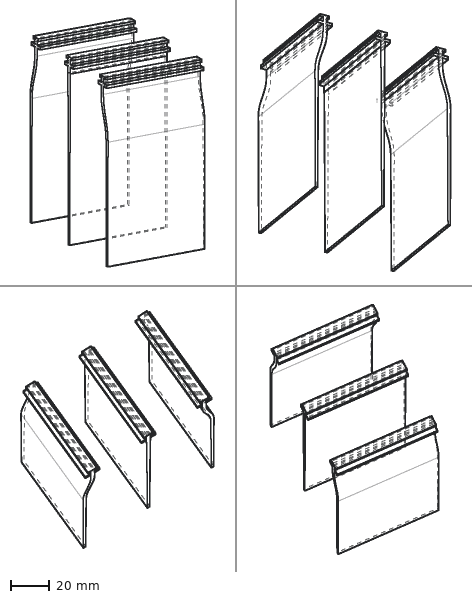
import cadquery as cq

total_height = 103.8
panel_length = 58.0
total_width = 82.2
panel_spacing = 35.2

head_width = 5.6
head_thickness = 1.3
flange_width = 9.0
flange_top = 100.0
flange_thickness = 1.7
neck_width = 2.7
collar_bottom = 94.7

blade_top_width = 2.4
blade_tip_width = 1.5

side_neck_width = 2.5
side_neck_shift = 0.2
bend_top = 94.1
bend_bottom = 69.2
side_blade_width = 2.1
side_tip_width = 1.5
side_tip_height = 0.2
tip_outer_inset = 0.2

neck_outer = side_neck_width / 2 - side_neck_shift
neck_inner = neck_outer - side_neck_width
blade_outer = total_width / 2 - panel_spacing
blade_inner = blade_outer - side_blade_width
tip_outer = blade_outer - tip_outer_inset
tip_inner = tip_outer - side_tip_width


def bar(width, bottom, top):
    """Full-length rectangular bar centred on x = 0."""
    size = (width, panel_length, top - bottom)
    return cq.Workplane("XY").box(*size).translate((0, 0, (bottom + top) / 2))


def extruded_wall(outline):
    """Wall with the given closed x-z outline, running the full panel length."""
    return outline.extrude(panel_length).translate((0, panel_length / 2, 0))


def add_rail(wall):
    """Add the flat head and the flange to the top of a wall."""
    head = bar(head_width, total_height - head_thickness, total_height)
    flange = bar(flange_width, flange_top - flange_thickness, flange_top)
    return wall.union(head).union(flange)


def make_middle_panel():
    """Flat, symmetric panel with a thin tapered blade below its collar."""
    collar = bar(neck_width, collar_bottom, total_height)
    blade_outline = (
        cq.Workplane("XZ")
        .moveTo(-blade_top_width / 2, collar_bottom)
        .lineTo(blade_top_width / 2, collar_bottom)
        .lineTo(blade_tip_width / 2, 0)
        .lineTo(-blade_tip_width / 2, 0)
        .close()
    )
    blade = extruded_wall(blade_outline)
    return add_rail(collar.union(blade))


def make_side_panel():
    """Panel that steps outward in a smooth S-bend and tapers to its tip."""
    straight_down = (0, -1)
    straight_up = (0, 1)
    outline = (
        cq.Workplane("XZ")
        .moveTo(neck_inner, total_height)
        .lineTo(neck_outer, total_height)
        .lineTo(neck_outer, bend_top)
        .spline([(blade_outer, bend_bottom)], tangents=[straight_down, straight_down], includeCurrent=True)
        .lineTo(tip_outer, side_tip_height)
        .lineTo(tip_inner, side_tip_height)
        .lineTo(blade_inner, bend_bottom)
        .spline([(neck_inner, bend_top)], tangents=[straight_up, straight_up], includeCurrent=True)
        .close()
    )
    return add_rail(extruded_wall(outline))


middle_panel = make_middle_panel()
side_panels = []
for turn in (0, 180):
    panel = make_side_panel().translate((panel_spacing, 0, 0))
    side_panels.append(panel.rotate((0, 0, 0), (0, 0, 1), turn).val())

result = cq.Compound.makeCompound([middle_panel.val(), *side_panels])